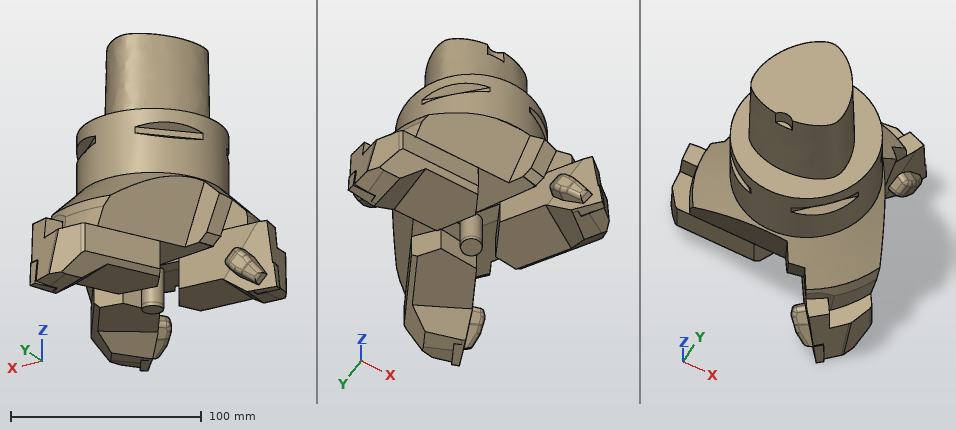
import cadquery as cq
import math

ARM_ANGLES = [63, 180, 303]

HEIGHT = 149.2
SHANK_BASE = 100.9
SHANK_RADIUS_BASE = 27.8
SHANK_RADIUS_TOP = 26.7
SHANK_LOBE = 2.4
NOTCH_RADIUS = 6.5
NOTCH_DEPTH = 8.4
NOTCH_INNER_Y = -21.8

NECK_RADIUS = 80.0 / 2
NECK_BASE = 64.5
GROOVE_Z = 89.1
GROOVE_FLOOR_DISTANCE = 35.5
GROOVE_FLOOR_WIDTH = 3.5
GROOVE_MOUTH_WIDTH = 8.7

CONE_RADIUS = 59.8
CONE_BASE = 45.0
RIM_RADIUS = 61.3
RIM_Z = 38.8
BODY_BASE_RADIUS = 61.0
BODY_BASE = 25.2
RELIEF_X = 60.5
SPIGOT_RADIUS = 12 / 2
SPIGOT_BASE = 3.1
SPIGOT_CHAMFER_HEIGHT = 2.0
SPIGOT_CHAMFER_WIDTH = 0.3

BACK_Y = 30.3
BACK_TOP_Z = 28.2
FLAT_SLOPE = 0.303
RAKE_Y = -4.3
STEP_Y = -12.8
STEP_WALL_X = 44.0
STEP_WALL_Z = 33.9
STEP_WALL_SLOPE = 0.38
STEP_WALL_SKEW = 0.39
STEP_FOOT = 4.6

SEAT_SLOPE = 0.117
PLATE_TOP = 37.2
PLATE_BACK_Y = 7.3
BAR_BASE = 9.4
BAR_INNER_X = 18.5
BAR_CORNER_X = 6.9
BAR_CORNER_Y = 15.4
BAR_BACK_X = 14.5
BAR_SLOPE_X = 45.0
BAR_SLOPE_END_X = 58.8
BACK_CHAMFER_Z = 12.4
FLANK_TOP_X = 72.1
FLANK_TILT = 0.104
FLANK_CLEARANCE = 0.13
BACK_CORNER_X = 61.6
BACK_CORNER_SLOPE = 1.37
STRIP_X = 70.9
STRIP_Y = 15.4
STRIP_Z = 26.3
STRIP_SLOPE = 4.2
STRIP_TILT = 0.36
CORNER_STRIP_X = 61.5
CORNER_STRIP_Y = 29.8
CORNER_STRIP_SLOPE = 0.75
CREASE_TOP_X = 66.7
CREASE_SLOPE = 0.73
RAKE_TILT = 0.117
TIP_CLEARANCE = 0.09
TIP_RISE_X = 66.3
TIP_RISE_SLOPE = 0.12
INSERT_INNER_X = 61.8
INSERT_HEIGHT = 13.6
INSERT_THICKNESS = 4.0
INSERT_PROUD = 0.6

CLAMP_START_X = 51.8
CLAMP_START_Z = 20.9
CLAMP_FALL_ANGLE = 44
CLAMP_LENGTH = 23.1
CLAMP_WIDE = 13.7
CLAMP_NARROW = 7.5
CLAMP_SHOULDER = 10.5
CLAMP_DRAFT = 8
CLAMP_END_HEIGHT = 10.1
CLAMP_PEAK_HEIGHT = 12
CLAMP_PEAK_POSITION = 6
CLAMP_BACK_HEIGHT = 9.8
CLAMP_BACK_POSITION = 14.9
CLAMP_TIP_HEIGHT = 5.4
CLAMP_ROUNDING = 2.7
CLAMP_SQUARE_FOOT = 3

FAR = 223.8


def half_space(point, normal):
    """A block filling the side of the plane that the normal points to."""
    plane = cq.Plane(origin=point, normal=normal)
    return cq.Workplane(plane).rect(2 * FAR, 2 * FAR).extrude(FAR)


def at_angle(part, angle):
    return part.rotate((0, 0, 0), (0, 0, 1), angle)


def polygon_along_y(points, y_start, y_end):
    """Prism of an outline in the XZ plane, from y_start to y_end."""
    return cq.Workplane("XZ", origin=(0, y_start, 0)).polyline(points).close().extrude(y_start - y_end)


def lobed_outline(radius):
    """Constant-width curve with lobes at 90, 210 and 330 degrees."""

    def point(t):
        support = radius - SHANK_LOBE * math.sin(3 * t)
        slope = -3 * SHANK_LOBE * math.cos(3 * t)
        return (
            support * math.cos(t) - slope * math.sin(t),
            support * math.sin(t) + slope * math.cos(t),
        )

    count = 36
    return [point(2 * math.pi * i / count) for i in range(count)]


def make_shank():
    shank = (
        cq.Workplane("XY", origin=(0, 0, SHANK_BASE))
        .spline(lobed_outline(SHANK_RADIUS_BASE), periodic=True)
        .close()
        .workplane(offset=HEIGHT - SHANK_BASE)
        .spline(lobed_outline(SHANK_RADIUS_TOP), periodic=True)
        .close()
        .loft(ruled=True)
    )
    notch = (
        cq.Workplane("XY", origin=(0, NOTCH_INNER_Y - NOTCH_RADIUS, HEIGHT - NOTCH_DEPTH))
        .circle(NOTCH_RADIUS)
        .extrude(NOTCH_DEPTH)
    )
    return shank.cut(notch)


def make_groove():
    """Straight groove with flared sides across the neck, on the +X side."""
    flare = (GROOVE_MOUTH_WIDTH - GROOVE_FLOOR_WIDTH) / 2 / (NECK_RADIUS - GROOVE_FLOOR_DISTANCE)
    depth = 2 * (NECK_RADIUS - GROOVE_FLOOR_DISTANCE)
    half_floor = GROOVE_FLOOR_WIDTH / 2
    half_mouth = half_floor + flare * depth
    outline = [
        (GROOVE_FLOOR_DISTANCE, GROOVE_Z - half_floor),
        (GROOVE_FLOOR_DISTANCE, GROOVE_Z + half_floor),
        (GROOVE_FLOOR_DISTANCE + depth, GROOVE_Z + half_mouth),
        (GROOVE_FLOOR_DISTANCE + depth, GROOVE_Z - half_mouth),
    ]
    return polygon_along_y(outline, NECK_RADIUS, -NECK_RADIUS)


def make_back_space():
    """Everything behind an arm's sloping back flat."""
    return half_space((0, BACK_Y, BACK_TOP_Z), (0, 1, -FLAT_SLOPE))


def make_front_space():
    """Everything in front of an arm's stepped wall."""
    foot = (STEP_WALL_X - STEP_FOOT, STEP_WALL_Z - STEP_FOOT)
    wall = [
        foot,
        (STEP_WALL_X, STEP_WALL_Z),
        (STEP_WALL_X + STEP_WALL_SLOPE * FAR, STEP_WALL_Z + FAR),
        (FAR, STEP_WALL_Z + FAR),
        (FAR, 0),
        (foot[0], 0),
    ]
    corners = [cq.Vector(x, RAKE_Y, z) for x, z in wall]
    profile = cq.Wire.makePolygon(corners, close=True)
    step = RAKE_Y - STEP_Y
    skewed = cq.Solid.extrudeLinear(profile, [], cq.Vector(-STEP_WALL_SKEW * step, -step, 0))
    return half_space((0, STEP_Y, 0), (0, -1, 0)).union(cq.Workplane(skewed))


def seat_z(y):
    return BACK_TOP_Z + SEAT_SLOPE * (y - BACK_Y)


def make_seat_space(pitch):
    """Everything under an arm's tilted seat, up to the cutting-face plane of the next arm."""
    turn = math.radians(pitch)
    below_seat = half_space((0, 0, seat_z(0)), (0, SEAT_SLOPE, -1))
    behind_face = half_space((0, RAKE_Y, 0), (0, 1, 0))
    before_next = half_space(
        (-RAKE_Y * math.sin(turn), RAKE_Y * math.cos(turn), 0),
        (math.sin(turn), -math.cos(turn), 0),
    )
    return below_seat.intersect(behind_face).intersect(before_next)


def make_cassette_blank():
    """Bar under the seat and upright plate along the cutting face, both running on outwards."""
    bar_outline = [
        (BAR_INNER_X, RAKE_Y),
        (FAR, RAKE_Y),
        (FAR, BACK_Y),
        (BAR_BACK_X, BACK_Y),
        (BAR_CORNER_X, BAR_CORNER_Y),
    ]
    bar = cq.Workplane("XY").polyline(bar_outline).close().extrude(BACK_TOP_Z)
    bar = bar.cut(half_space((0, BACK_Y, BACK_TOP_Z), (0, -SEAT_SLOPE, 1)))
    plate = polygon_along_y(
        [
            (STEP_WALL_X + STEP_WALL_SLOPE * (PLATE_TOP - STEP_WALL_Z), PLATE_TOP),
            (STEP_WALL_X, STEP_WALL_Z),
            (STEP_WALL_X - STEP_FOOT, STEP_WALL_Z - STEP_FOOT),
            (BAR_INNER_X, STEP_WALL_Z - STEP_FOOT),
            (BAR_INNER_X, 0),
            (FAR, 0),
            (FAR, PLATE_TOP),
        ],
        RAKE_Y,
        PLATE_BACK_Y,
    )
    return bar.union(plate)


def make_cassette():
    cassette = make_cassette_blank()

    flank_normal = (1, FLANK_CLEARANCE, FLANK_TILT)
    cassette = cassette.cut(half_space((FLANK_TOP_X, RAKE_Y, PLATE_TOP), flank_normal))
    cassette = cassette.cut(half_space((STRIP_X, STRIP_Y, STRIP_Z), (STRIP_SLOPE, 1, STRIP_TILT)))
    cassette = cassette.cut(half_space((BACK_CORNER_X, BACK_Y, 0), (BACK_CORNER_SLOPE, 1, 0)))
    corner_normal = (CORNER_STRIP_SLOPE, 1, 0)
    cassette = cassette.cut(half_space((CORNER_STRIP_X, CORNER_STRIP_Y, 0), corner_normal))

    underside = polygon_along_y(
        [(0, 0), (BAR_SLOPE_END_X, 0), (BAR_SLOPE_X, BAR_BASE), (0, BAR_BASE)], -FAR, FAR
    )
    cassette = cassette.cut(underside)
    cassette = cassette.cut(half_space((0, BACK_Y, BACK_CHAMFER_Z), (0, 1, -1)))
    cassette = cassette.cut(half_space((0, 0, 0), (0, TIP_CLEARANCE, -1)))
    tip_rise = half_space((TIP_RISE_X, 0, 0), (TIP_RISE_SLOPE, TIP_CLEARANCE, -1))
    cassette = cassette.cut(tip_rise)

    insert = (
        cq.Workplane("XY")
        .box(FAR, INSERT_THICKNESS - RAKE_Y, INSERT_HEIGHT, centered=False)
        .translate((INSERT_INNER_X, RAKE_Y, 0))
        .cut(half_space((FLANK_TOP_X + INSERT_PROUD, RAKE_Y, PLATE_TOP), flank_normal))
    )
    cassette = cassette.union(insert)

    crease = (CREASE_TOP_X, RAKE_Y, PLATE_TOP)
    lean = (RAKE_TILT, -1, -RAKE_TILT * CREASE_SLOPE)
    return cassette.cut(half_space(crease, lean))


def make_clamp(cassette):
    """Tapered wedge, laid out along X with its height to -Y and then tipped down to the insert."""
    half_wide = CLAMP_WIDE / 2
    half_narrow = CLAMP_NARROW / 2
    footprint = [
        (0, half_wide),
        (CLAMP_SHOULDER, half_wide),
        (CLAMP_LENGTH, half_narrow),
        (CLAMP_LENGTH, -half_narrow),
        (CLAMP_SHOULDER, -half_wide),
        (0, -half_wide),
    ]
    ridge = [
        (0, 0),
        (0, -CLAMP_END_HEIGHT),
        (CLAMP_PEAK_POSITION, -CLAMP_PEAK_HEIGHT),
        (CLAMP_BACK_POSITION, -CLAMP_BACK_HEIGHT),
        (CLAMP_LENGTH, -CLAMP_TIP_HEIGHT),
        (CLAMP_LENGTH, 0),
    ]
    clamp = cq.Workplane("XZ").polyline(footprint).close()
    clamp = clamp.extrude(2 * CLAMP_PEAK_HEIGHT, taper=CLAMP_DRAFT)
    profile = cq.Workplane("XY", origin=(0, 0, -CLAMP_WIDE)).polyline(ridge).close().extrude(2 * CLAMP_WIDE)
    clamp = clamp.intersect(profile)
    upper_edges = cq.selectors.BoxSelector((-FAR, -FAR, -FAR), (FAR, -CLAMP_SQUARE_FOOT, FAR))
    clamp = clamp.edges(upper_edges).fillet(CLAMP_ROUNDING)
    clamp = clamp.rotate((0, 0, 0), (0, 1, 0), CLAMP_FALL_ANGLE)
    return clamp.translate((CLAMP_START_X, 0, CLAMP_START_Z)).cut(cassette)


def make_body():
    profile = [
        (0, BODY_BASE),
        (BODY_BASE_RADIUS, BODY_BASE),
        (RIM_RADIUS, RIM_Z),
        (CONE_RADIUS, CONE_BASE),
        (NECK_RADIUS, NECK_BASE),
        (NECK_RADIUS, SHANK_BASE),
        (0, SHANK_BASE),
    ]
    body = cq.Workplane("XZ").polyline(profile).close().revolve(360, (0, 0, 0), (0, 1, 0))
    for corner in range(4):
        body = body.cut(at_angle(make_groove(), 45 + 90 * corner))
    relief = half_space((RELIEF_X, 0, 0), (1, 0, 0))
    for i, angle in enumerate(ARM_ANGLES):
        next_angle = ARM_ANGLES[(i + 1) % len(ARM_ANGLES)]
        gap = at_angle(make_back_space(), angle).intersect(at_angle(make_front_space(), next_angle))
        body = body.cut(gap)
        body = body.cut(at_angle(make_seat_space(next_angle - angle), angle))
        body = body.cut(at_angle(relief, angle))
        body = body.cut(at_angle(make_cassette_blank(), angle))
    spigot = (
        cq.Workplane("XY", origin=(0, 0, SPIGOT_BASE))
        .circle(SPIGOT_RADIUS)
        .extrude(NECK_BASE - SPIGOT_BASE)
        .faces("<Z")
        .chamfer(SPIGOT_CHAMFER_HEIGHT, SPIGOT_CHAMFER_WIDTH)
    )
    return body.union(make_shank()).union(spigot)


first_cassette = make_cassette()
first_clamp = make_clamp(first_cassette)
cassettes = [at_angle(first_cassette, angle) for angle in ARM_ANGLES]
clamps = [at_angle(first_clamp, angle) for angle in ARM_ANGLES]
body = make_body()

result = cq.Compound.makeCompound(
    [body.val()] + [cassette.val() for cassette in cassettes] + [clamp.val() for clamp in clamps]
)